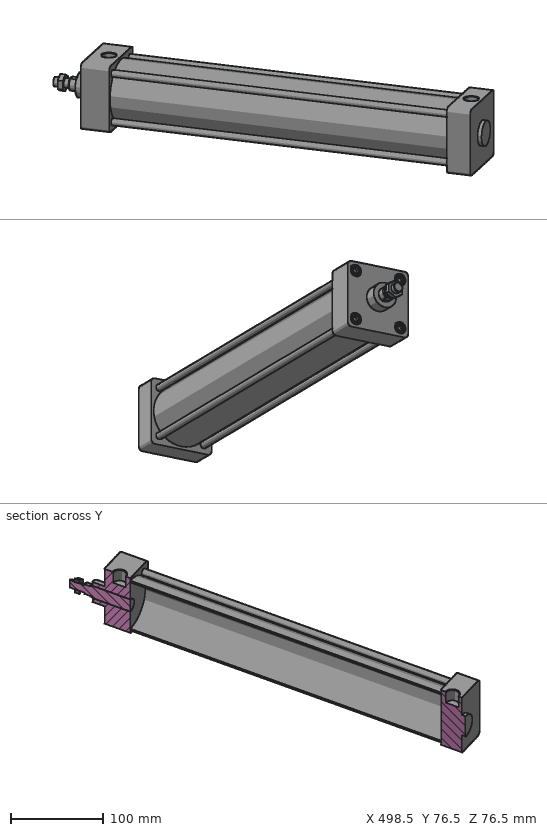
import cadquery as cq
import math


OVERALL_LENGTH = 498.5
HEAD_BOSS_FACE_X = 29.0
HEAD_BOSS_LENGTH = 15.0
HEAD_LENGTH = 33.0
CAP_LENGTH = 27.0
CAP_BOSS_LENGTH = 4.5
HEAD_FRONT_X = HEAD_BOSS_FACE_X + HEAD_BOSS_LENGTH
HEAD_BACK_X = HEAD_FRONT_X + HEAD_LENGTH
CAP_BACK_X = OVERALL_LENGTH - CAP_BOSS_LENGTH
CAP_FRONT_X = CAP_BACK_X - CAP_LENGTH

BLOCK_SIDE = 76.5
BLOCK_CORNER_RADIUS = 5.0
BOSS_DIAMETER = 28.5
PORT_DIAMETER = 15.5
PORT_DEPTH = 15.0
PORT_CHAMFER = 0.75
HEAD_PORT_X = HEAD_FRONT_X + 19.0
CAP_PORT_X = CAP_BACK_X - 12.5

TUBE_OUTER_DIAMETER = 70.0
TUBE_BORE_DIAMETER = 63.5

TIE_ROD_DIAMETER = 8.0
TIE_ROD_OFFSET = 28.0
COUNTERBORE_DIAMETER = 13.5
TIE_ROD_HEAD_DIAMETER = 12.0
TIE_ROD_HEAD_LENGTH = 7.5
TIE_ROD_HEAD_CHAMFER = 1.0
SOCKET_DIAMETER = 7.0
SOCKET_DEPTH = 4.0
TIE_ROD_SEAT_X = HEAD_FRONT_X + TIE_ROD_HEAD_LENGTH
TIE_ROD_CENTRES = [
    (y, z)
    for y in (-TIE_ROD_OFFSET, TIE_ROD_OFFSET)
    for z in (-TIE_ROD_OFFSET, TIE_ROD_OFFSET)
]

ROD_DIAMETER = 16.0
ROD_SHOULDER_X = 18.5
ROD_SHOULDER_CHAMFER = 1.25
THREAD_DIAMETER = 11.0
THREAD_TIP_CHAMFER = 0.5
WRENCH_FLAT_WIDTH = 14.0
WRENCH_FLAT_LENGTH = 7.5

NUT_ACROSS_FLATS = 17.0
NUT_THICKNESS = 6.0
NUT_FRONT_X = 6.5


def cylinder_along_x(diameter, start_x, end_x, y=0.0, z=0.0):
    return (
        cq.Workplane("YZ", origin=(start_x, y, z))
        .circle(diameter / 2)
        .extrude(end_x - start_x)
    )


def end_block(start_x, end_x):
    """Square block with its four long edges rounded."""
    return (
        cq.Workplane("YZ", origin=(start_x, 0, 0))
        .rect(BLOCK_SIDE, BLOCK_SIDE)
        .extrude(end_x - start_x)
        .edges("|X")
        .fillet(BLOCK_CORNER_RADIUS)
    )


def port_cutter(center_x):
    """Blind hole from the top face, with a chamfered mouth."""
    top_face = cq.Workplane("XY", origin=(center_x, 0, BLOCK_SIDE / 2))
    hole = top_face.circle(PORT_DIAMETER / 2).extrude(-PORT_DEPTH)
    mouth = top_face.circle(PORT_DIAMETER / 2 + PORT_CHAMFER).extrude(-PORT_CHAMFER, taper=45)
    return hole.union(mouth)


def make_head():
    head = (
        end_block(HEAD_FRONT_X, HEAD_BACK_X)
        .union(cylinder_along_x(BOSS_DIAMETER, HEAD_BOSS_FACE_X, HEAD_FRONT_X))
        .cut(cylinder_along_x(ROD_DIAMETER, HEAD_BOSS_FACE_X, HEAD_BACK_X))
        .cut(port_cutter(HEAD_PORT_X))
    )
    for y, z in TIE_ROD_CENTRES:
        head = head.cut(cylinder_along_x(TIE_ROD_DIAMETER, HEAD_FRONT_X, HEAD_BACK_X, y, z))
        head = head.cut(cylinder_along_x(COUNTERBORE_DIAMETER, HEAD_FRONT_X, TIE_ROD_SEAT_X, y, z))
    return head


def make_cap():
    return (
        end_block(CAP_FRONT_X, CAP_BACK_X)
        .union(cylinder_along_x(BOSS_DIAMETER, CAP_BACK_X, OVERALL_LENGTH))
        .cut(port_cutter(CAP_PORT_X))
    )


def make_tube():
    bore = cylinder_along_x(TUBE_BORE_DIAMETER, HEAD_BACK_X, CAP_FRONT_X)
    return cylinder_along_x(TUBE_OUTER_DIAMETER, HEAD_BACK_X, CAP_FRONT_X).cut(bore)


def make_tie_rod(y, z):
    shank = cylinder_along_x(TIE_ROD_DIAMETER, TIE_ROD_SEAT_X, CAP_FRONT_X, y, z)
    rod_head = (
        cylinder_along_x(TIE_ROD_HEAD_DIAMETER, HEAD_FRONT_X, TIE_ROD_SEAT_X, y, z)
        .faces("<X")
        .chamfer(TIE_ROD_HEAD_CHAMFER)
    )
    socket = cylinder_along_x(SOCKET_DIAMETER, HEAD_FRONT_X, HEAD_FRONT_X + SOCKET_DEPTH, y, z)
    return shank.union(rod_head).cut(socket)


def make_piston_rod():
    """Rod that reaches through the head block to the barrel."""
    rod = (
        cylinder_along_x(ROD_DIAMETER, ROD_SHOULDER_X, HEAD_BACK_X)
        .faces("<X")
        .chamfer(ROD_SHOULDER_CHAMFER)
    )
    flat_cutter = cq.Workplane("XY").box(WRENCH_FLAT_LENGTH, ROD_DIAMETER, ROD_DIAMETER)
    flat_center_x = ROD_SHOULDER_X + WRENCH_FLAT_LENGTH / 2
    flat_center_z = (WRENCH_FLAT_WIDTH + ROD_DIAMETER) / 2
    for side in (-1, 1):
        rod = rod.cut(flat_cutter.translate((flat_center_x, 0, side * flat_center_z)))
    thread = (
        cylinder_along_x(THREAD_DIAMETER, 0, ROD_SHOULDER_X)
        .faces("<X")
        .chamfer(THREAD_TIP_CHAMFER)
    )
    return rod.union(thread)


def make_nut():
    """Hexagon nut with two of its corners pointing along Z."""
    across_corners = NUT_ACROSS_FLATS / math.cos(math.pi / 6)
    return (
        cq.Workplane("YZ", origin=(NUT_FRONT_X, 0, 0))
        .polygon(6, across_corners)
        .extrude(NUT_THICKNESS)
        .rotate((0, 0, 0), (1, 0, 0), 90)
        .cut(cylinder_along_x(THREAD_DIAMETER, NUT_FRONT_X, NUT_FRONT_X + NUT_THICKNESS))
    )


head = make_head()
cap = make_cap()
tube = make_tube()
piston_rod = make_piston_rod()
nut = make_nut()
tie_rods = [make_tie_rod(y, z).val() for y, z in TIE_ROD_CENTRES]

result = cq.Compound.makeCompound(
    [head.val(), cap.val(), tube.val(), piston_rod.val(), nut.val(), *tie_rods]
)